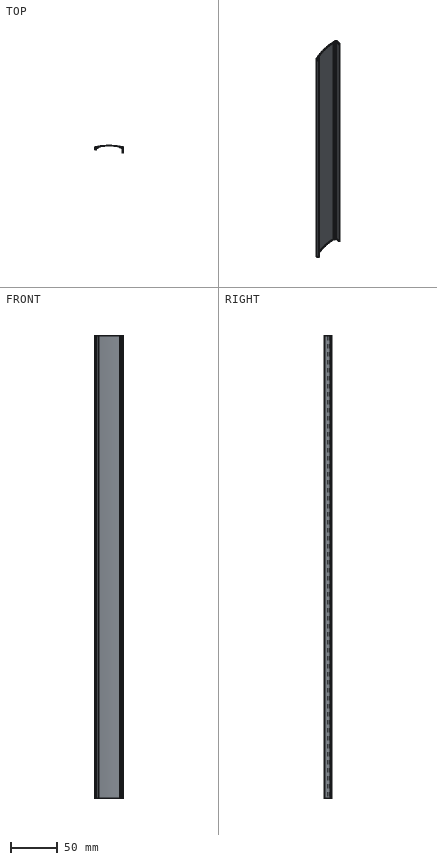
import cadquery as cq
import math

length = 500.0
width = 31.22
depth = 7.91

crown_x = 0.1
outer_radius = 63.5
web_thickness = 0.45
rim_thickness = 1.58

recess_left_x = -10.97
recess_left_run = 0.8
recess_right_x = 11.69
recess_right_run = 0.36

short_leg_thickness = 1.9
short_leg_end_y = -0.8
short_leg_foot_radius = 1.14

long_leg_thickness = 1.29
long_leg_tip_radius = 0.52
lip_start_y = 1.26
lip_end_x = 13.0
lip_slope = math.radians(5.5)
gusset_slope = math.radians(30)
shoulder_radius = 1.09

left_x = -width / 2
right_x = width / 2
crown_y = depth / 2
long_leg_end_y = -depth / 2
arch_center_y = crown_y - outer_radius
web_radius = outer_radius - web_thickness
rim_radius = outer_radius - rim_thickness
short_leg_inner_x = left_x + short_leg_thickness
long_leg_inner_x = right_x - long_leg_thickness


def arch_point(x, radius):
    """Point at x on the roof arc of the given radius."""
    return (x, arch_center_y + math.sqrt(radius**2 - (x - crown_x) ** 2))


def make_strip():
    """Extrude the sharp-cornered cross-section, centred along Z."""
    rim_end_x = recess_left_x - recess_left_run
    rim_middle_x = (rim_end_x + short_leg_inner_x) / 2
    lip_start_x = recess_right_x + recess_right_run
    lip_end_y = lip_start_y + (lip_end_x - lip_start_x) * math.tan(lip_slope)
    gusset_end_y = lip_end_y - (long_leg_inner_x - lip_end_x) * math.tan(gusset_slope)

    section = (
        cq.Workplane("XY", origin=(0, 0, -length / 2))
        .moveTo(left_x, short_leg_end_y)
        .lineTo(*arch_point(left_x, outer_radius))
        .threePointArc((crown_x, crown_y), arch_point(right_x, outer_radius))
        .lineTo(right_x, long_leg_end_y)
        .lineTo(long_leg_inner_x, long_leg_end_y)
        .lineTo(long_leg_inner_x, gusset_end_y)
        .lineTo(lip_end_x, lip_end_y)
        .lineTo(lip_start_x, lip_start_y)
        .lineTo(*arch_point(recess_right_x, web_radius))
        .threePointArc(arch_point(crown_x, web_radius), arch_point(recess_left_x, web_radius))
        .lineTo(*arch_point(rim_end_x, rim_radius))
        .threePointArc(
            arch_point(rim_middle_x, rim_radius),
            arch_point(short_leg_inner_x, rim_radius),
        )
        .lineTo(short_leg_inner_x, short_leg_end_y)
        .close()
    )
    return section.extrude(length)


def round_corner(strip, corner, radius):
    """Fillet the lengthwise edge that passes through a cross-section corner."""
    x, y = corner
    reach = 0.01
    selector = cq.selectors.BoxSelector((x - reach, y - reach, -1), (x + reach, y + reach, 1))
    return strip.edges(selector).fillet(radius)


rounded_corners = [
    ((left_x, short_leg_end_y), short_leg_foot_radius),
    (arch_point(right_x, outer_radius), shoulder_radius),
    ((right_x, long_leg_end_y), long_leg_tip_radius),
    ((long_leg_inner_x, long_leg_end_y), long_leg_tip_radius),
]

result = make_strip()
for corner, radius in rounded_corners:
    result = round_corner(result, corner, radius)